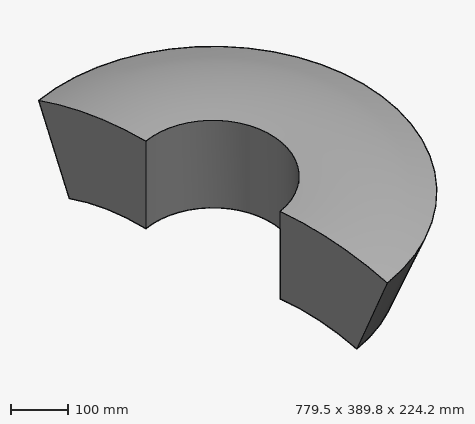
import cadquery as cq
import math

RIM_RADIUS = 389.77
BORE_RADIUS = 150.0
CROWN_RADIUS = 184.0
THICKNESS = 200.0
RIM_ANGLE = 20.0
SWEEP_ANGLE = 180.0

RIM_TILT = math.radians(RIM_ANGLE)
UPPER_ARC_RADIUS = (RIM_RADIUS - CROWN_RADIUS) / math.sin(RIM_TILT)
LOWER_ARC_RADIUS = UPPER_ARC_RADIUS - THICKNESS

ARC_CENTER_Z = -LOWER_ARC_RADIUS * math.cos(RIM_TILT)


def arc_point(arc_radius, tilt):
    """Point (radial distance, Z) on a section arc, tilted outward from vertical."""
    return (
        CROWN_RADIUS + arc_radius * math.sin(tilt),
        ARC_CENTER_Z + arc_radius * math.cos(tilt),
    )


def bore_tilt(arc_radius):
    """Tilt at which a section arc meets the bore wall."""
    return math.asin((BORE_RADIUS - CROWN_RADIUS) / arc_radius)


def arc_ends_and_middle(arc_radius):
    """Bore end, middle and rim end of a section arc."""
    start_tilt = bore_tilt(arc_radius)
    middle_tilt = (start_tilt + RIM_TILT) / 2
    return [arc_point(arc_radius, tilt) for tilt in (start_tilt, middle_tilt, RIM_TILT)]


def ring_section():
    """Closed section in the XZ plane: bore wall, two domed arcs and sloping rim."""
    upper_bore, upper_middle, upper_rim = arc_ends_and_middle(UPPER_ARC_RADIUS)
    lower_bore, lower_middle, lower_rim = arc_ends_and_middle(LOWER_ARC_RADIUS)
    return (
        cq.Workplane("XZ")
        .moveTo(*lower_bore)
        .lineTo(*upper_bore)
        .threePointArc(upper_middle, upper_rim)
        .lineTo(*lower_rim)
        .threePointArc(lower_middle, lower_bore)
        .close()
    )


AXIS_START = (0, 0, 0)
AXIS_END = (0, 1, 0)
result = ring_section().revolve(SWEEP_ANGLE, AXIS_START, AXIS_END)